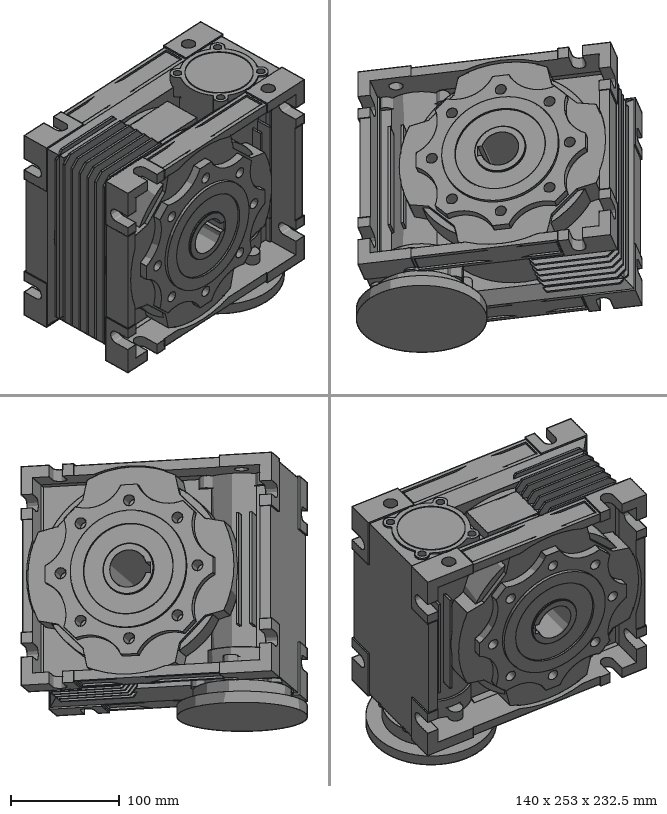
import cadquery as cq
import math


PAD_X = 65.0
RAIL_X = 64.0
FRAME_X = 37.0
WEB_X = 26.0
FLOOR_X = 29.2
PAD_FRONT_Y, PAD_BACK_Y, PAD_Z = -103.0, 135.0, 103.0
RAIL_FRONT_Y, RAIL_BACK_Y, RAIL_Z = -101.8, 133.5, 101.3
BEVEL_INSET = 10.5
POCKET_FRONT_Y, POCKET_BACK_Y, POCKET_Z = -92.2, 123.5, 92.0
LEDGE_X = 34.4
POCKET_DRAFT = 25.0
POCKET_BACK_STEP = 2.0
BAY_FRONT_Y = 65.0
PAD_SPAN = 49.9
BACK_PAD_Y = 85.2
SLOT_OFFSET = 70.0
SLOT_WIDTH = 13.0
SLOT_DEPTH = 12.0
BOLT_X = 50.0
BACK_HOLE_Y = 102.5

RECESS_DEPTH = 2.0
RECESS_X = (40.7, 60.2)
RECESSES = ((83.2, 24.7, 14.1), (-51.0, -24.2, -13.7))

DRUM_R = 87.0
PLATE_Z, PLATE_HALF_X, PLATE_Y = 87.7, 18.5, (-14.7, 40.2)
FIN_REACH, FIN_CHAMFER, FIN_THICKNESS = 98.0, 8.0, 2.2
FIN_ROOT_R = 80.0
FIN_START_Y, FIN_START_Z, FIN_RAMP = -14.7, 90.0, 6.5
FIN_X = (-30.0, -19.7, -10.0, 0.0, 10.0, 19.7, 30.0)

OVERLAP = 1.0
COVER_DRUM_R, COVER_DRUM_X = 88.5, 55.0
LOBE_R, LOBE_X, LOBE_CLEARANCE = 97.5, 59.0, 0.6
FRONT_LOBE_X = 31.6
NOTCH_OUTER = (41.9, 88.0)
NOTCH_INNER = (45.9, 69.9)
STAR_FLATS = 8
STAR_X, STAR_APOTHEM, STAR_HALF_FLAT, STAR_VALLEY_R = 67.0, 79.8, 7.7, 67.7
RING_X, RING_R, RECESS_R, RING_RECESS = 70.0, 55.0, 42.5, 2.0
COVER_HOLE_D, COVER_HOLE_RADIUS, COVER_HOLE_DEPTH = 10.2, 65.0, 20.0

SHAFT_R, SHAFT_CHAMFER, BORE_R = 24.0, 0.5, 17.5
KEY_WIDTH, KEY_TOP = 10.0, 21.0

WORM_Y = 90.0
TUBE_R, CAP_R, CAP_RECESS = 36.2, 31.3, 0.8
TOP_LUG_OFFSET, TOP_LUG_R, TOP_LUG_Z = 27.1, 6.8, 80.4
TOP_HOLE_D, TOP_HOLE_DEPTH = 7.6, 15.0
BELL_R, BELL_TOP_Z, BELL_BOTTOM_Z = 38.4, -72.0, -104.8
BOTTOM_LUG_RADIUS, BOTTOM_LUG_R, BOTTOM_LUG_Z, BOTTOM_LUG_COUNT = 41.5, 7.0, -81.4, 6
LUG_FILLET = 1.5
TUBE_RIB_Y, TUBE_RIB_THICKNESS, TUBE_RIB_Z, TUBE_RIB_X = (110.0, 97.6), 2.2, 52.4, 46.0

COLLAR_R, FLANGE_R = 45.3, 60.0
FLANGE_TOP_Z, FLANGE_BOTTOM_Z = -119.0, -129.5


def box(x, y, z):
    """Block between (low, high) limits on each axis."""
    size = (x[1] - x[0], y[1] - y[0], z[1] - z[0])
    return cq.Workplane("XY").box(*size, centered=False).translate((x[0], y[0], z[0]))


def post(x, y, radius, z_low, z_high):
    """Upright cylinder."""
    return cq.Workplane("XY", origin=(x, y, z_low)).circle(radius).extrude(z_high - z_low)


def disc(radius, x_low, x_high):
    """Cylinder about the output axis."""
    return cq.Workplane("YZ", origin=(x_low, 0, 0)).circle(radius).extrude(x_high - x_low)


def polar(radius, angle):
    """Point at a radius and an angle in radians."""
    return (radius * math.cos(angle), radius * math.sin(angle))


def side_rectangle(x, y_low, y_high, half_z):
    """Rectangle in a plane across X, ready to extrude."""
    plane = cq.Workplane("YZ", origin=(x, 0, 0))
    return plane.center((y_low + y_high) / 2, 0).rect(y_high - y_low, 2 * half_z)


def both_sides(shape):
    return shape.union(shape.mirror("YZ"))


def upper_and_lower(shape):
    return shape.union(shape.mirror("XY"))


def side_frame():
    """+X frame: bevelled web, rails and corner pads, before any cuts."""
    bevel_angle = math.degrees(math.atan2(BEVEL_INSET, FRAME_X - WEB_X))
    bevel = side_rectangle(FRAME_X, RAIL_FRONT_Y, RAIL_BACK_Y, RAIL_Z)
    frame = bevel.extrude(-(FRAME_X - WEB_X), taper=bevel_angle)
    rails = side_rectangle(FRAME_X, RAIL_FRONT_Y, RAIL_BACK_Y, RAIL_Z)
    frame = frame.union(rails.extrude(RAIL_X - FRAME_X))
    upright = (PAD_Z - PAD_SPAN, PAD_Z)
    for y in ((PAD_FRONT_Y, PAD_FRONT_Y + PAD_SPAN), (BACK_PAD_Y, PAD_BACK_Y)):
        pad = box((FRAME_X, PAD_X), y, upright)
        frame = frame.union(upper_and_lower(pad))
    return frame


def side_pocket():
    """+X pocket: upright walls, a drafted bottom part and an upright bay for the worm."""
    z = (-POCKET_Z, POCKET_Z)
    ledge_y = POCKET_BACK_Y - POCKET_BACK_STEP
    drafted = side_rectangle(LEDGE_X, POCKET_FRONT_Y, ledge_y, POCKET_Z)
    pocket = drafted.extrude(-(LEDGE_X - FLOOR_X), taper=POCKET_DRAFT)
    pocket = pocket.union(box((FLOOR_X, LEDGE_X), (BAY_FRONT_Y, ledge_y), z))
    return pocket.union(box((LEDGE_X, PAD_X), (POCKET_FRONT_Y, POCKET_BACK_Y), z))


def open_slot(plane, offset, depth):
    """Slot cutter with a round inner end at BOLT_X, open to the outside in X."""
    half = SLOT_WIDTH / 2
    outline = (
        cq.Workplane(plane)
        .moveTo(PAD_X + half, offset - half)
        .lineTo(BOLT_X, offset - half)
        .threePointArc((BOLT_X - half, offset), (BOLT_X, offset + half))
        .lineTo(PAD_X + half, offset + half)
        .close()
    )
    return outline.extrude(depth, both=True)


def mounting_cuts():
    """Bolt slots and rear bolt holes of the +X frame, and the recesses in its rails."""
    upper = open_slot("XY", -SLOT_OFFSET, SLOT_DEPTH)
    upper = upper.translate((0, 0, PAD_Z))
    slot = open_slot("XZ", SLOT_OFFSET, SLOT_DEPTH)
    for y in (PAD_FRONT_Y, PAD_BACK_Y):
        upper = upper.union(slot.translate((0, y, 0)))
    for wall, foot, ramp_top in RECESSES:
        profile = [
            (wall, RAIL_Z),
            (wall, RAIL_Z - RECESS_DEPTH),
            (foot, RAIL_Z - RECESS_DEPTH),
            (ramp_top, RAIL_Z),
        ]
        section = cq.Workplane("YZ", origin=(RECESS_X[0], 0, 0)).polyline(profile).close()
        upper = upper.union(section.extrude(RECESS_X[1] - RECESS_X[0]))
    back_hole = post(BOLT_X, BACK_HOLE_Y, SLOT_WIDTH / 2, PAD_Z - SLOT_DEPTH, PAD_Z)
    return upper_and_lower(upper).union(back_hole)


def lobed_disc():
    """Cover disc with a notch on each diagonal, standing on the pocket floor."""
    far = 2 * LOBE_R
    outer_y, outer_z = NOTCH_OUTER
    inner_y, inner_z = NOTCH_INNER
    notch_points = [
        (outer_y, outer_z),
        (inner_y, inner_z),
        (inner_z, inner_y),
        (outer_z, outer_y),
        (far, outer_y),
        (far, far),
        (outer_y, far),
    ]
    notch = cq.Workplane("YZ").polyline(notch_points).close().extrude(LOBE_X)
    lobes = disc(LOBE_R, FLOOR_X - OVERLAP, LOBE_X)
    for quarter in range(4):
        lobes = lobes.cut(notch.rotate((0, 0, 0), (1, 0, 0), 90 * quarter))
    upper_trim = box((0, FRAME_X), (-far, far), (POCKET_Z, far))
    front_trim = box((0, FRONT_LOBE_X), (-far, POCKET_FRONT_Y), (-far, far))
    return lobes.cut(upper_and_lower(upper_trim)).cut(front_trim)


def star_plate():
    """Eight flats around the cover, joined by concave scallops."""
    step = 2 * math.pi / STAR_FLATS
    corner_r = math.hypot(STAR_APOTHEM, STAR_HALF_FLAT)
    corner_angle = math.atan2(STAR_HALF_FLAT, STAR_APOTHEM)

    outline = cq.Workplane("YZ", origin=(COVER_DRUM_X, 0, 0)).moveTo(*polar(corner_r, -corner_angle))
    for index in range(STAR_FLATS):
        angle = index * step
        outline = outline.lineTo(*polar(corner_r, angle + corner_angle))
        valley = polar(STAR_VALLEY_R, angle + step / 2)
        outline = outline.threePointArc(valley, polar(corner_r, angle + step - corner_angle))
    return outline.close().extrude(STAR_X - COVER_DRUM_X)


def output_cover():
    """+X cover with its raised ring, sunken face and bolt holes."""
    cover = disc(COVER_DRUM_R, FLOOR_X - OVERLAP, COVER_DRUM_X).union(lobed_disc()).union(star_plate())
    cover = cover.union(disc(RING_R, STAR_X, RING_X))
    cover = cover.cut(disc(RECESS_R, RING_X - RING_RECESS, RING_X))
    holes = (
        cq.Workplane("YZ", origin=(STAR_X, 0, 0))
        .polarArray(COVER_HOLE_RADIUS, 0, 360, STAR_FLATS)
        .circle(COVER_HOLE_D / 2)
        .extrude(-COVER_HOLE_DEPTH)
    )
    return cover.cut(holes)


def gear_drum():
    """Drum between the frames, its nameplate pad and the wall behind the worm."""
    drum = disc(DRUM_R, -FLOOR_X, FLOOR_X)
    drum = drum.union(box((-PLATE_HALF_X, PLATE_HALF_X), PLATE_Y, (0, PLATE_Z)))
    back_wall = box((-FRAME_X, FRAME_X), (WORM_Y, RAIL_BACK_Y), (-RAIL_Z, RAIL_Z))
    return drum.union(back_wall)


def cooling_fins():
    """Flat fins that wrap the front of the drum, with chamfered corners."""
    edge = FIN_REACH - FIN_CHAMFER
    upper = [
        (FIN_START_Y, FIN_START_Z),
        (FIN_START_Y - FIN_RAMP, FIN_REACH),
        (-edge, FIN_REACH),
        (-FIN_REACH, edge),
    ]
    lower = [(y, -z) for y, z in reversed(upper)]
    profile = cq.Workplane("YZ").polyline(upper + lower).close()
    fin = profile.extrude(FIN_THICKNESS / 2, both=True).cut(disc(FIN_ROOT_R, -WEB_X, WEB_X))
    fins = fin.translate((FIN_X[0], 0, 0))
    for x in FIN_X[1:]:
        fins = fins.union(fin.translate((x, 0, 0)))
    return fins


def lug(ring_r, lug_r, lug_radius, direction, height):
    """Round lug blended into a ring by fillets; direction is the lug's angle in degrees."""
    ring_side = ring_r + LUG_FILLET
    lug_side = lug_r + LUG_FILLET
    cosine = (ring_side**2 + lug_radius**2 - lug_side**2) / (2 * ring_side * lug_radius)
    blend_angle = math.acos(cosine)

    ring_x, ring_y = polar(ring_r, blend_angle)
    centre_x, centre_y = polar(ring_side, blend_angle)
    share = lug_r / lug_side
    touch_x = lug_radius + share * (centre_x - lug_radius)
    touch_y = share * centre_y
    chord_x = (ring_x + touch_x) / 2 - centre_x
    chord_y = (ring_y + touch_y) / 2 - centre_y
    reach = LUG_FILLET / math.hypot(chord_x, chord_y)
    middle_x = centre_x + reach * chord_x
    middle_y = centre_y + reach * chord_y
    outline = (
        cq.Workplane("XY")
        .lineTo(ring_x, -ring_y)
        .threePointArc((middle_x, -middle_y), (touch_x, -touch_y))
        .threePointArc((lug_radius + lug_r, 0), (touch_x, touch_y))
        .threePointArc((middle_x, middle_y), (ring_x, ring_y))
        .close()
    )
    return outline.extrude(height).rotate((0, 0, 0), (0, 0, 1), direction)


def worm_tube():
    """Worm tube with upper lugs and cap, lower bell and lugs, and side ribs."""
    tube = post(0, WORM_Y, TUBE_R, BELL_TOP_Z, PAD_Z)
    tube = tube.union(post(0, WORM_Y, BELL_R, BELL_BOTTOM_Z, BELL_TOP_Z))
    top_lug_radius = math.sqrt(2) * TOP_LUG_OFFSET
    for direction in (45, 135, 225, 315):
        upper_lug = lug(TUBE_R, TOP_LUG_R, top_lug_radius, direction, PAD_Z - TOP_LUG_Z)
        tube = tube.union(upper_lug.translate((0, WORM_Y, TOP_LUG_Z)))
    for index in range(BOTTOM_LUG_COUNT):
        direction = 360 * index / BOTTOM_LUG_COUNT
        height = BOTTOM_LUG_Z - BELL_BOTTOM_Z
        lower_lug = lug(BELL_R, BOTTOM_LUG_R, BOTTOM_LUG_RADIUS, direction, height)
        tube = tube.union(lower_lug.translate((0, WORM_Y, BELL_BOTTOM_Z)))
    for y in TUBE_RIB_Y:
        half = TUBE_RIB_THICKNESS / 2
        rib = box((-TUBE_RIB_X, TUBE_RIB_X), (y - half, y + half), (-TUBE_RIB_Z, TUBE_RIB_Z))
        tube = tube.union(rib)
    return tube


def worm_end_cuts():
    """Sunken cap and blind screw holes at the top of the worm tube."""
    cuts = post(0, WORM_Y, CAP_R, PAD_Z - CAP_RECESS, PAD_Z)
    for x in (-TOP_LUG_OFFSET, TOP_LUG_OFFSET):
        for y in (WORM_Y - TOP_LUG_OFFSET, WORM_Y + TOP_LUG_OFFSET):
            cuts = cuts.union(post(x, y, TOP_HOLE_D / 2, PAD_Z - TOP_HOLE_DEPTH, PAD_Z))
    return cuts


def motor_flange():
    collar = post(0, WORM_Y, COLLAR_R, FLANGE_TOP_Z, BELL_BOTTOM_Z)
    return collar.union(post(0, WORM_Y, FLANGE_R, FLANGE_BOTTOM_Z, FLANGE_TOP_Z))


def output_shaft():
    return disc(SHAFT_R, -RING_X, RING_X).faces("<X or >X").edges().chamfer(SHAFT_CHAMFER)


def output_bore():
    bore = disc(BORE_R, -RING_X, RING_X)
    key_half = KEY_WIDTH / 2
    return bore.union(box((-RING_X, RING_X), (0, KEY_TOP), (-key_half, key_half)))


clearance = disc(LOBE_R + LOBE_CLEARANCE, LOBE_X, PAD_X)

housing = both_sides(side_frame()).union(gear_drum())
housing = housing.cut(both_sides(side_pocket()))
housing = housing.cut(both_sides(mounting_cuts()))
housing = housing.cut(both_sides(clearance))
housing = housing.union(cooling_fins())
housing = housing.union(worm_tube()).union(motor_flange())
housing = housing.union(both_sides(output_cover())).cut(worm_end_cuts())
result = housing.union(output_shaft()).cut(output_bore())